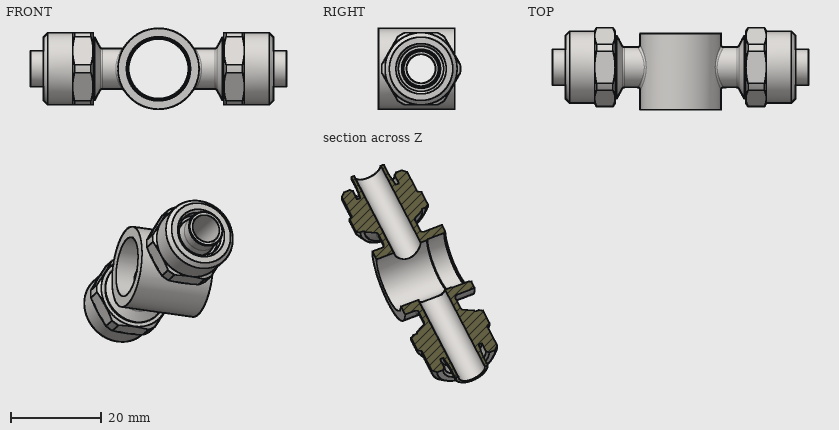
import cadquery as cq
import math

overall_length = 57.0

barrel_radius = 9.0
barrel_front = -9.45
barrel_back = 7.5
bore_radius = 6.6
socket_radius = 6.8
socket_depth = 4.5
shoulder_length = 0.2
mouth_radius = 7.1
mouth_length = 0.5

neck_radius = 4.5
neck_fillet = 0.5
cone_root_fillet = 0.55
branch_bore_radius = 3.2
flange_radius = 7.0
flange_cone_angle = 62.0
flange_rim_start = 14.15

hex_sides = 6
hex_width = 16.0
nut_back = 14.5
nut_hex_end = 19.05
nut_face = 25.55
nut_radius = hex_width / 2
nut_face_chamfer = 0.95
hex_corner_radius = 8.8
hex_front_chamfer_length = 0.4
hex_back_radius = 7.9
hex_back_chamfer_length = 0.5
nut_mouth_radius = 5.6
nut_hole_radius = 5.0
nut_hole_depth = 2.85
nut_hole_bottom = nut_face - nut_hole_depth

tube_tip = overall_length / 2
tube_diameter = 8.05
tube_radius = tube_diameter / 2
tube_tip_chamfer = 0.15
flare_start = 25.4
flare_radius = 4.35

pick_slack = 0.05


def revolve_about_x(points):
    """Solid of revolution about X from (distance along X, radius) points."""
    return cq.Workplane("XY").polyline(points).close().revolve(360, (0, 0, 0), (1, 0, 0))


def cylinder_x(radius, start, end):
    return cq.Workplane("YZ", origin=(start, 0, 0)).circle(radius).extrude(end - start)


def make_neck():
    """Neck running out of the barrel and flaring into the conical flange."""
    cone_length = (flange_radius - neck_radius) / math.tan(math.radians(flange_cone_angle))
    cone_start = flange_rim_start - cone_length
    neck = revolve_about_x([
        (0, 0),
        (0, neck_radius),
        (cone_start, neck_radius),
        (flange_rim_start, flange_radius),
        (nut_back, flange_radius),
        (nut_back, 0),
    ])
    cone_root = cq.selectors.BoxSelector(
        (cone_start - pick_slack, -flange_radius, -flange_radius),
        (cone_start + pick_slack, flange_radius, flange_radius),
        boundingbox=False,
    )
    return neck.edges("%CIRCLE").edges(cone_root).fillet(cone_root_fillet)


def make_hex():
    """Hexagon with corners on Y, rounded to a cylinder and chamfered at both ends."""
    hexagon = (
        cq.Workplane("YZ", origin=(nut_back, 0, 0))
        .polygon(hex_sides, hex_width / math.cos(math.pi / hex_sides))
        .extrude(nut_hex_end - nut_back)
    )
    envelope = revolve_about_x([
        (nut_back, 0),
        (nut_back, hex_back_radius),
        (nut_back + hex_back_chamfer_length, hex_corner_radius),
        (nut_hex_end - hex_front_chamfer_length, hex_corner_radius),
        (nut_hex_end, nut_radius),
        (nut_hex_end, 0),
    ])
    return hexagon.intersect(envelope)


def make_nut_and_tube():
    """Round part of the nut with its countersunk hole and the tube stub inside."""
    mouth_depth = nut_mouth_radius - nut_hole_radius
    return revolve_about_x([
        (nut_hex_end, 0),
        (nut_hex_end, nut_radius),
        (nut_face - nut_face_chamfer, nut_radius),
        (nut_face, nut_radius - nut_face_chamfer),
        (nut_face, nut_mouth_radius),
        (nut_face - mouth_depth, nut_hole_radius),
        (nut_hole_bottom, nut_hole_radius),
        (nut_hole_bottom, flare_radius),
        (flare_start, tube_radius),
        (tube_tip - tube_tip_chamfer, tube_radius),
        (tube_tip, tube_radius - tube_tip_chamfer),
        (tube_tip, 0),
    ])


def make_barrel():
    return (
        cq.Workplane("XZ", origin=(0, barrel_back, 0))
        .circle(barrel_radius)
        .extrude(barrel_back - barrel_front)
    )


def make_barrel_bore():
    """Stepped bore with a chamfered mouth and a conical shoulder, drawn as (radius, Y) points."""
    shoulder = barrel_front + socket_depth
    return (
        cq.Workplane("XY")
        .polyline([
            (0, barrel_front),
            (mouth_radius, barrel_front),
            (socket_radius, barrel_front + mouth_length),
            (socket_radius, shoulder),
            (bore_radius, shoulder + shoulder_length),
            (bore_radius, barrel_back),
            (0, barrel_back),
        ])
        .close()
        .revolve(360, (0, 0, 0), (0, 1, 0))
    )


neck = make_neck()
body = make_barrel().union(neck).union(neck.mirror("YZ"))
joint_reach = barrel_radius + pick_slack
joint_half_width = neck_radius + pick_slack
joint_zone = cq.selectors.BoxSelector(
    (-joint_reach, -joint_half_width, -joint_half_width),
    (joint_reach, joint_half_width, joint_half_width),
    boundingbox=True,
)
body = body.edges(joint_zone).fillet(neck_fillet)

end_fitting = make_hex().union(make_nut_and_tube())
body = body.union(end_fitting).union(end_fitting.mirror("YZ"))

body = body.cut(make_barrel_bore())
result = body.cut(cylinder_x(branch_bore_radius, -tube_tip, tube_tip))